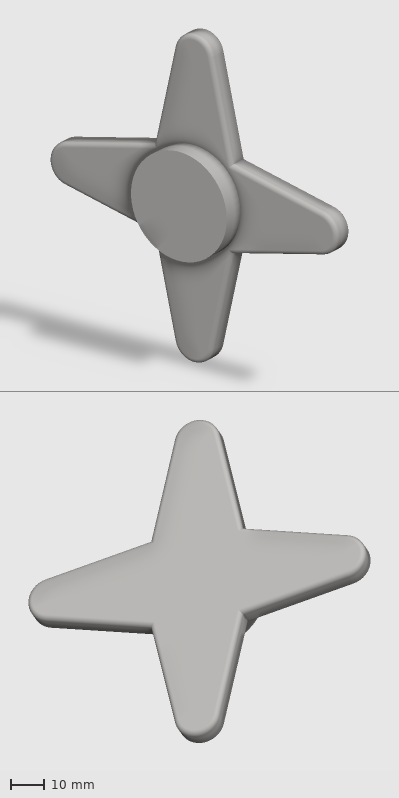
import cadquery as cq
import math

SPAN = 107.1
TIP_RADIUS = 7.2
FLANK_ANGLE = 12.7
PLATE_THICKNESS = 7.2
EDGE_RADIUS = 1.5
BOSS_DIAMETER = 35.7
BOSS_HEIGHT = 7.1
ARM_COUNT = 4

flank = math.radians(FLANK_ANGLE)
tip_centre = SPAN / 2 - TIP_RADIUS
tangent_x = tip_centre + TIP_RADIUS * math.sin(flank)
tangent_z = TIP_RADIUS * math.cos(flank)
flank_offset = TIP_RADIUS + tip_centre * math.sin(flank)
notch = flank_offset / (math.cos(flank) + math.sin(flank))


def turned(x, z, turn):
    """Rotate a point of the first arm by a number of arm steps."""
    angle = 2 * math.pi * turn / ARM_COUNT
    return (
        x * math.cos(angle) - z * math.sin(angle),
        x * math.sin(angle) + z * math.cos(angle),
    )


def star_plate():
    """Four-armed plate with its front face on Y = 0 and its back at +Y."""
    outline = cq.Workplane("XZ").moveTo(notch, -notch)
    for arm in range(ARM_COUNT):
        outline = outline.lineTo(*turned(tangent_x, -tangent_z, arm))
        outline = outline.threePointArc(
            turned(SPAN / 2, 0, arm),
            turned(tangent_x, tangent_z, arm),
        )
        if arm < ARM_COUNT - 1:
            outline = outline.lineTo(*turned(notch, notch, arm))
    plate = outline.close().extrude(-PLATE_THICKNESS)
    return plate.faces("<Y or >Y").edges().fillet(EDGE_RADIUS)


def boss():
    """Round hub standing on the front face, towards -Y."""
    return cq.Workplane("XZ").circle(BOSS_DIAMETER / 2).extrude(BOSS_HEIGHT)


result = star_plate().union(boss())